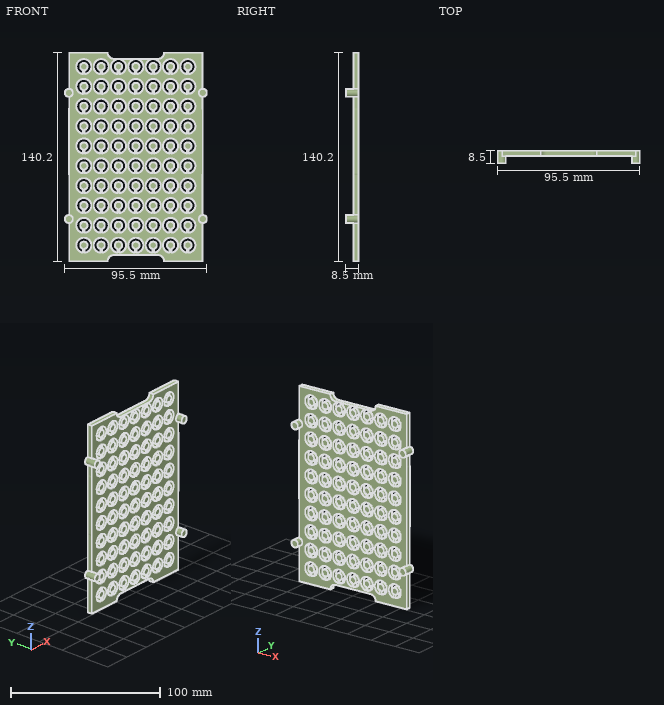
import cadquery as cq

plate_height = 140.2
plate_thickness = 3.6

overall_width = 95.5
pin_diameter = 5.5
pin_length = 8.5
pin_spacing_x = overall_width - pin_diameter
pin_spacing_z = 84.7
pin_center_z = 0.7

pad_height = 0.17
pad_flat_length = 41.8
pad_end_radius = 5.0
pad_center_z = 10.2
plate_width = pin_spacing_x - 2 * pad_height

notch_width = 37.7
notch_depth = 4.2
notch_radius = 4.0

columns = 7
rows = 10
column_pitch = 11.6
row_pitch = 13.3
grid_center_z = 0.7
window_diameter = 10.0
disc_diameter = 5.0
tab_width = 1.4


def centered_slab(width, height):
    """Slab as thick as the plate, centred on the origin in X and Z."""
    return cq.Workplane("XY").box(width, plate_thickness, height, centered=(True, False, True))


def make_edge_pads():
    """Bar across the plate; only its ends stand out past the side edges."""
    bar_height = pad_flat_length + 2 * pad_end_radius
    bar = centered_slab(pin_spacing_x, bar_height).edges("|Y").fillet(pad_end_radius)
    return bar.translate((0, 0, pad_center_z))


def make_notch(edge_z):
    """Cutter straddling a plate edge; only its half inside the plate removes material."""
    cutter = centered_slab(notch_width, 2 * notch_depth).edges("|Y").fillet(notch_radius)
    return cutter.translate((0, 0, edge_z))


def make_windows():
    """Ring-shaped cutters on the grid, each interrupted by a tab below its disc."""
    ring = cq.Workplane("XZ").circle(window_diameter / 2).circle(disc_diameter / 2).extrude(-plate_thickness)
    tab = centered_slab(tab_width, window_diameter).translate((0, 0, -window_diameter / 2))
    window = ring.cut(tab).val()
    windows = []
    for column in range(columns):
        for row in range(rows):
            x = (column - (columns - 1) / 2) * column_pitch
            z = grid_center_z + (row - (rows - 1) / 2) * row_pitch
            windows.append(window.translate(cq.Vector(x, 0, z)))
    return cq.Workplane(cq.Compound.makeCompound(windows))


def make_pin(x, z):
    """Pin running from the back face toward -Y."""
    pin_circle = cq.Workplane("XZ", origin=(x, plate_thickness, z)).circle(pin_diameter / 2)
    return pin_circle.extrude(pin_length)


result = centered_slab(plate_width, plate_height).union(make_edge_pads())

for side in (-1, 1):
    result = result.cut(make_notch(side * plate_height / 2))

result = result.cut(make_windows())

for x_side in (-1, 1):
    for z_side in (-1, 1):
        pin_x = x_side * pin_spacing_x / 2
        pin_z = pin_center_z + z_side * pin_spacing_z / 2
        result = result.union(make_pin(pin_x, pin_z))